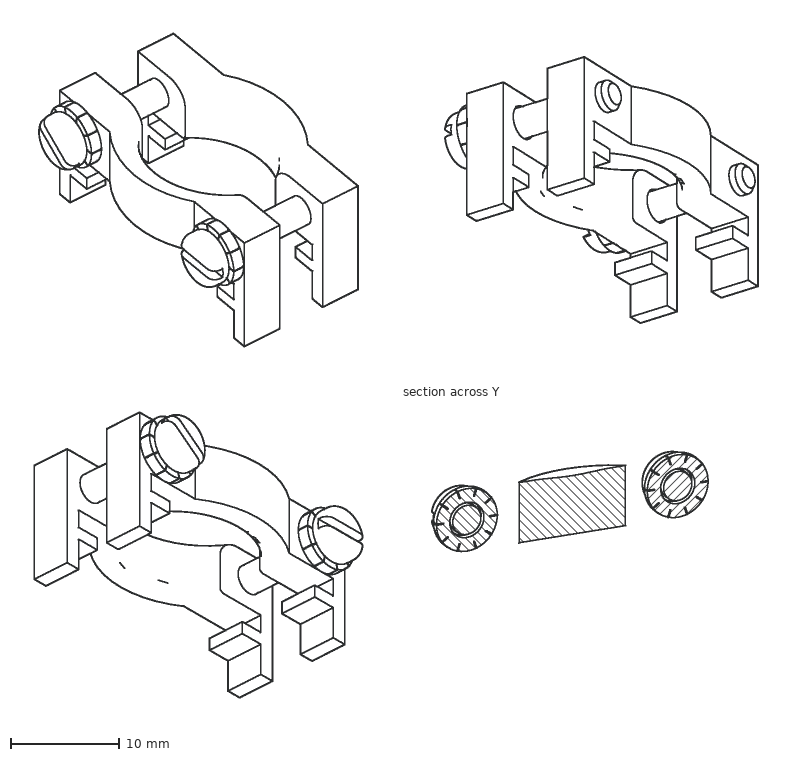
import cadquery as cq
import math


CLAMP_LENGTH = 27.75
BODY_HEIGHT = 6.0
TOTAL_HEIGHT = 12.48
INNER_FACE_Y = 2.5
OUTER_FACE_Y = 6.65
LEG_THICKNESS = 1.58
HOOK_REACH = 4.08
HOOK_TOP = 7.88
HOOK_THICKNESS = 1.3

ARC_CENTRE_Y = -2.27
BORE_RADIUS = 8.3
ARCH_RADIUS = 10.95
TOP_RIM_FILLET = 2.0
BOTTOM_RIM_FILLET = 0.45

SCREW_X = 10.68
SCREW_Z = -2.88
SHANK_DIAMETER = 2.9
SHANK_END_Y = 7.85
TIP_DIAMETER = 2.05
TIP_LENGTH = 0.5
HEAD_DIAMETER = 5.4
HEAD_HEIGHT = 2.08
HEAD_FRONT_FILLET = 0.85
HEAD_BACK_FILLET = 0.47
SLOT_WIDTH = 1.03
SLOT_DEPTH = 1.15
SLOT_TURNS = (36.0, 0.0)

WASHER_DIAMETER = 6.2
WASHER_BORE = 3.4
WASHER_THICKNESS = 1.17
TOOTH_COUNT = 10
TOOTH_GAP = 0.05
TOOTH_ROOT_DIAMETER = 4.72

CLEARANCE_HOLE = 3.22

SCREW_PLACES = (-SCREW_X, SCREW_X)
HALF_LENGTH = CLAMP_LENGTH / 2
WASHER_FRONT_Y = -OUTER_FACE_Y - WASHER_THICKNESS
HEAD_FRONT_Y = WASHER_FRONT_Y - HEAD_HEIGHT


def cylinder_y(diameter, start_y, end_y, x):
    """Cylinder along Y on a screw axis."""
    start = cq.Vector(x, start_y, SCREW_Z)
    solid = cq.Solid.makeCylinder(diameter / 2, end_y - start_y, start, cq.Vector(0, 1, 0))
    return cq.Workplane(obj=solid)


def block(x_min, x_max, z_min, z_max):
    """Block as deep in Y as the clamp ends."""
    depth = OUTER_FACE_Y - INNER_FACE_Y
    return cq.Workplane().box(x_max - x_min, depth, z_max - z_min, centered=False).translate(
        (x_min, INNER_FACE_Y, z_min)
    )


def seat_cutter():
    """Round bore about the seat axis that flares at both ends with quarter rounds."""
    top_flare_radius = BORE_RADIUS + TOP_RIM_FILLET
    bottom_flare_radius = BORE_RADIUS + BOTTOM_RIM_FILLET
    bulge = 1 - math.sqrt(0.5)
    top_mid = (BORE_RADIUS + TOP_RIM_FILLET * bulge, -TOP_RIM_FILLET * bulge)
    bottom_mid = (BORE_RADIUS + BOTTOM_RIM_FILLET * bulge, -BODY_HEIGHT + BOTTOM_RIM_FILLET * bulge)
    profile = (
        cq.Workplane("XZ")
        .lineTo(top_flare_radius, 0)
        .threePointArc(top_mid, (BORE_RADIUS, -TOP_RIM_FILLET))
        .lineTo(BORE_RADIUS, -BODY_HEIGHT + BOTTOM_RIM_FILLET)
        .threePointArc(bottom_mid, (bottom_flare_radius, -BODY_HEIGHT))
        .lineTo(0, -BODY_HEIGHT)
        .close()
    )
    return profile.revolve(360, (0, 0, 0), (0, 1, 0)).translate((0, ARC_CENTRE_Y, 0))


def arch():
    """Round back of the seat, cut off flush with the inner face of the clamp."""
    disc = cq.Workplane(origin=(0, ARC_CENTRE_Y, 0)).circle(ARCH_RADIUS).extrude(-BODY_HEIGHT)
    keep = (
        cq.Workplane(origin=(0, INNER_FACE_Y, 0))
        .box(CLAMP_LENGTH, CLAMP_LENGTH, CLAMP_LENGTH, centered=(True, False, True))
    )
    return disc.intersect(keep)


def clamp_half(hole_diameter):
    """Clamp half on the +Y side with its two screw holes."""
    half = block(-HALF_LENGTH, HALF_LENGTH, -BODY_HEIGHT, 0)
    half = half.union(arch()).cut(seat_cutter())

    leg = block(-HALF_LENGTH, -HALF_LENGTH + LEG_THICKNESS, -TOTAL_HEIGHT, 0)
    hook = block(-HALF_LENGTH, -HALF_LENGTH + HOOK_REACH, -HOOK_TOP - HOOK_THICKNESS, -HOOK_TOP)
    leg = leg.union(hook)
    half = half.union(leg).union(leg.mirror("YZ"))

    for x in SCREW_PLACES:
        half = half.cut(cylinder_y(hole_diameter, INNER_FACE_Y, OUTER_FACE_Y, x))
    return half


def make_screw(x, slot_turn):
    """Slotted pan-head screw with a bevelled tip."""
    head = (
        cylinder_y(HEAD_DIAMETER, HEAD_FRONT_Y, WASHER_FRONT_Y, x)
        .faces("<Y").edges().fillet(HEAD_FRONT_FILLET)
        .faces(">Y").edges().fillet(HEAD_BACK_FILLET)
    )
    shank = cylinder_y(SHANK_DIAMETER, WASHER_FRONT_Y, SHANK_END_Y, x)
    shank = shank.faces(">Y").chamfer(TIP_LENGTH, (SHANK_DIAMETER - TIP_DIAMETER) / 2)
    slot = (
        cq.Workplane()
        .box(HEAD_DIAMETER, SLOT_DEPTH, SLOT_WIDTH, centered=(True, False, True))
        .rotate((0, 0, 0), (0, 1, 0), slot_turn)
        .translate((x, HEAD_FRONT_Y, SCREW_Z))
    )
    return head.union(shank).cut(slot)


def make_washer(x):
    """Ring whose rim is slit into teeth."""
    washer = cylinder_y(WASHER_DIAMETER, WASHER_FRONT_Y, -OUTER_FACE_Y, x)
    slit = (
        cq.Workplane()
        .box(WASHER_DIAMETER, WASHER_THICKNESS, TOOTH_GAP, centered=(False, False, True))
        .translate((TOOTH_ROOT_DIAMETER / 2, 0, 0))
    )
    for tooth in range(TOOTH_COUNT):
        turned = slit.rotate((0, 0, 0), (0, 1, 0), tooth * 360 / TOOTH_COUNT)
        washer = washer.cut(turned.translate((x, WASHER_FRONT_Y, SCREW_Z)))
    return washer.cut(cylinder_y(WASHER_BORE, WASHER_FRONT_Y, -OUTER_FACE_Y, x))


rear_half = clamp_half(SHANK_DIAMETER)
front_half = clamp_half(CLEARANCE_HOLE).mirror("XZ")
screws = [make_screw(x, turn) for x, turn in zip(SCREW_PLACES, SLOT_TURNS)]
washers = [make_washer(x) for x in SCREW_PLACES]

result = cq.Compound.makeCompound(
    [body.val() for body in (rear_half, front_half, *screws, *washers)]
)